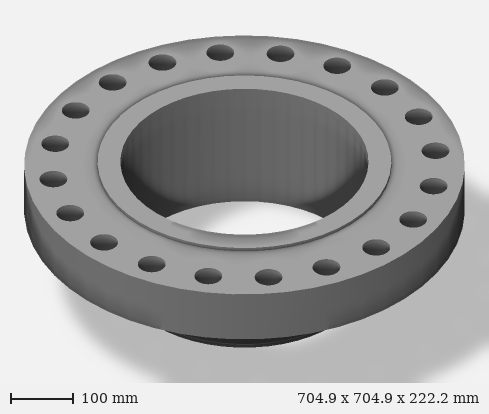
import cadquery as cq
import math

INCH = 25.4

flange_diameter = 27.75 * INCH
flange_thickness = 3.5 * INCH

raised_face_diameter = 18.5 * INCH
raised_face_height = 0.25 * INCH

overall_height = 8.75 * INCH
hub_base_diameter = 20.0 * INCH
weld_end_diameter = 16.0 * INCH
weld_root_face = INCH / 16
weld_bevel_angle = math.radians(22.5)
weld_land_length = 2.0
hub_fillet_radius = 15.0
bore_diameter = 15.625 * INCH

bolt_count = 20
bolt_circle_diameter = 24.25 * INCH
bolt_hole_diameter = 1.75 * INCH

root_radius = bore_diameter / 2 + weld_root_face
weld_bevel_height = (weld_end_diameter / 2 - root_radius) / math.tan(weld_bevel_angle)

flange_top = overall_height - raised_face_height
flange_bottom = flange_top - flange_thickness
weld_land_top = weld_bevel_height + weld_land_length


def make_body():
    """Revolve the ring, raised face and hub, with the bore left open."""
    bore_radius = bore_diameter / 2
    weld_end_radius = weld_end_diameter / 2
    hub_base_radius = hub_base_diameter / 2
    flange_radius = flange_diameter / 2
    raised_face_radius = raised_face_diameter / 2

    cone_height = flange_bottom - weld_land_top
    cone_angle = math.atan2(hub_base_radius - weld_end_radius, cone_height)
    turn_angle = math.pi / 2 - cone_angle
    tangent_length = hub_fillet_radius * math.tan(turn_angle / 2)
    cone_tangent = (
        hub_base_radius - tangent_length * math.sin(cone_angle),
        flange_bottom - tangent_length * math.cos(cone_angle),
    )
    flange_tangent = (hub_base_radius + tangent_length, flange_bottom)
    fillet_center = (flange_tangent[0], flange_bottom - hub_fillet_radius)
    mid_angle = math.pi / 2 + turn_angle / 2
    fillet_middle = (
        fillet_center[0] + hub_fillet_radius * math.cos(mid_angle),
        fillet_center[1] + hub_fillet_radius * math.sin(mid_angle),
    )

    profile = (
        cq.Workplane("XZ")
        .moveTo(bore_radius, 0)
        .lineTo(root_radius, 0)
        .lineTo(weld_end_radius, weld_bevel_height)
        .lineTo(weld_end_radius, weld_land_top)
        .lineTo(*cone_tangent)
        .threePointArc(fillet_middle, flange_tangent)
        .lineTo(flange_radius, flange_bottom)
        .lineTo(flange_radius, flange_top)
        .lineTo(raised_face_radius, flange_top)
        .lineTo(raised_face_radius, overall_height)
        .lineTo(bore_radius, overall_height)
        .close()
    )
    return profile.revolve(360, (0, 0, 0), (0, 1, 0))


def make_bolt_holes():
    """Cylinders through the flange ring, evenly spaced on the bolt circle."""
    return (
        cq.Workplane("XY", origin=(0, 0, flange_bottom))
        .polarArray(bolt_circle_diameter / 2, 0, 360, bolt_count)
        .circle(bolt_hole_diameter / 2)
        .extrude(flange_thickness)
    )


result = make_body().cut(make_bolt_holes())